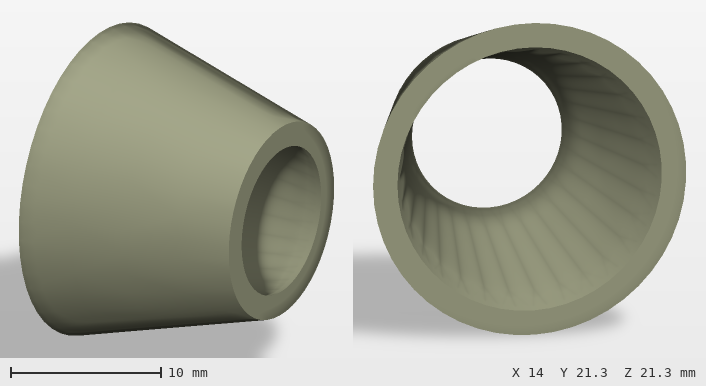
import cadquery as cq

length = 14.0
wide_outer_diameter = 21.3
narrow_outer_diameter = 13.5
wall = 1.66

wide_outer_radius = wide_outer_diameter / 2
narrow_outer_radius = narrow_outer_diameter / 2
wide_inner_radius = wide_outer_radius - wall
narrow_inner_radius = narrow_outer_radius - wall

wall_section = cq.Workplane("XY").polyline([
    (0, wide_inner_radius),
    (0, wide_outer_radius),
    (length, narrow_outer_radius),
    (length, narrow_inner_radius),
]).close()

result = wall_section.revolve(360, (0, 0, 0), (1, 0, 0))